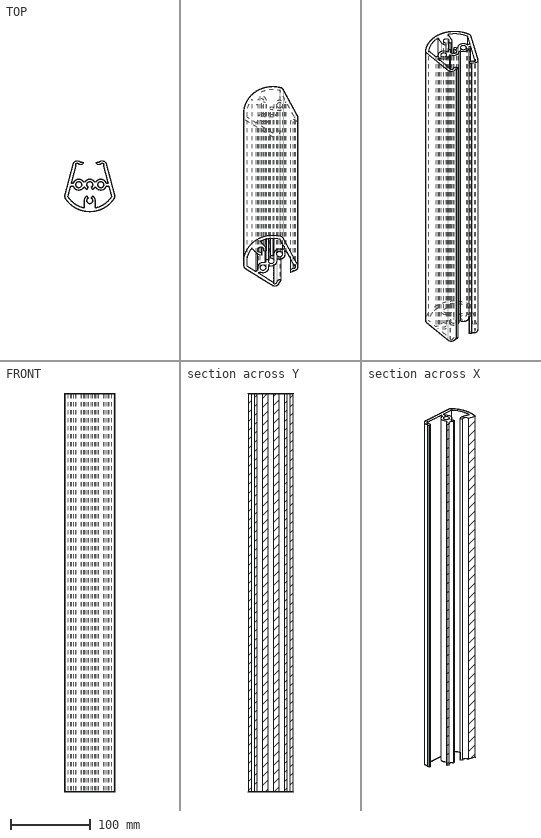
import math

import cadquery as cq

LENGTH = 500.0
WIDTH = 63.06
HEIGHT = 63.98

FRONT_RADIUS = 36.7
FRONT_WALL = 4.1
SIDE_WALL = 4.3
SIDE_LEAN = 14.8
CORNER_RADIUS = 6.0

LIP_RADIUS = 5.7
LIP_WALL = 3.2
LIP_SWEEP_END = 48.0
HOOK_RADIUS = 0.7
HOOK_TIP_ANGLE = -22.0

PORT_BORE = 3.65
PORT_RADIUS = 7.0
PORT_PITCH = 13.85
PORT_ROW_Y = 34.0
PORT_OPENING = 30.0
OPENING_MARGIN = 1.0
WEB_THICKNESS = 3.9
BRIDGE_THICKNESS = 7.0

STEM_PORT_Y = 14.0


def polar(center, radius, angle):
    """Point at an angle in degrees, counter-clockwise from +X, on a circle."""
    turn = math.radians(angle)
    return (center[0] + radius * math.cos(turn), center[1] + radius * math.sin(turn))


def mirrored(point):
    """The point's mirror image across X = 0."""
    return (-point[0], point[1])


def ring_sector(center, inner, outer, start, end):
    """Part of a ring, running from the start angle to the end angle."""
    middle = (start + end) / 2
    return (
        cq.Workplane("XY")
        .moveTo(*polar(center, outer, start))
        .threePointArc(polar(center, outer, middle), polar(center, outer, end))
        .lineTo(*polar(center, inner, end))
        .threePointArc(polar(center, inner, middle), polar(center, inner, start))
        .close()
        .extrude(LENGTH)
    )


def block(half_width, y_min, y_max):
    """Full-length rectangular bar centered on X = 0."""
    middle_y = (y_min + y_max) / 2
    return cq.Workplane("XY").center(0, middle_y).rect(2 * half_width, y_max - y_min).extrude(LENGTH)


def cylinder(center, radius):
    """Full-length round bar."""
    return cq.Workplane("XY").center(*center).circle(radius).extrude(LENGTH)


side_angle = 180 - SIDE_LEAN
lean = math.radians(SIDE_LEAN)

front_center = (0.0, FRONT_RADIUS)
corner_x = CORNER_RADIUS - WIDTH / 2
corner_y = FRONT_RADIUS - math.sqrt((FRONT_RADIUS - CORNER_RADIUS) ** 2 - corner_x**2)
corner_center = (corner_x, corner_y)
front_end_angle = 180 + math.degrees(math.atan2(FRONT_RADIUS - corner_y, -corner_x))

lip_y = HEIGHT - LIP_RADIUS
lip_x = corner_x + (LIP_RADIUS - CORNER_RADIUS) / math.cos(lean) + (lip_y - corner_y) * math.tan(lean)
lip_center = (lip_x, lip_y)


def side_inner_x(y):
    """X of the left side wall's inner face at a given Y."""
    return lip_x - (LIP_RADIUS - SIDE_WALL) / math.cos(lean) - (lip_y - y) * math.tan(lean)


def shell():
    """Front wall, rounded corners and leaning side walls."""
    side_top = polar(lip_center, LIP_RADIUS, side_angle)
    side_bottom = polar(corner_center, CORNER_RADIUS, side_angle)
    corner_middle = polar(corner_center, CORNER_RADIUS, (side_angle + front_end_angle) / 2)
    corner_end = polar(corner_center, CORNER_RADIUS, front_end_angle)
    outside = (
        cq.Workplane("XY")
        .moveTo(*side_top)
        .lineTo(*side_bottom)
        .threePointArc(corner_middle, corner_end)
        .threePointArc((0, 0), mirrored(corner_end))
        .threePointArc(mirrored(corner_middle), mirrored(side_bottom))
        .lineTo(*mirrored(side_top))
        .lineTo(*mirrored(polar(lip_center, LIP_RADIUS - SIDE_WALL, side_angle)))
        .lineTo(*polar(lip_center, LIP_RADIUS - SIDE_WALL, side_angle))
        .close()
        .extrude(LENGTH)
    )
    top_left = (side_inner_x(HEIGHT), HEIGHT)
    bottom_left = (side_inner_x(0), 0)
    between_sides = (
        cq.Workplane("XY")
        .polyline([top_left, bottom_left, mirrored(bottom_left), mirrored(top_left)])
        .close()
        .extrude(LENGTH)
    )
    return outside.cut(between_sides.intersect(cylinder(front_center, FRONT_RADIUS - FRONT_WALL)))


def lips():
    """S-shaped lips: a curl over the back, then a hook curling the other way."""
    curl = ring_sector(lip_center, LIP_RADIUS - LIP_WALL, LIP_RADIUS, LIP_SWEEP_END, side_angle)
    hook_center = polar(lip_center, LIP_RADIUS + HOOK_RADIUS, LIP_SWEEP_END)
    hook_start = 180 + LIP_SWEEP_END
    hook_end = 360 + HOOK_TIP_ANGLE
    lip = curl.union(ring_sector(hook_center, HOOK_RADIUS, HOOK_RADIUS + LIP_WALL, hook_start, hook_end))
    return lip.union(lip.mirror("YZ"))


def opening(center, direction):
    """Wedge that splits a port open towards +Y (direction 1) or -Y (direction -1)."""
    depth = PORT_RADIUS + OPENING_MARGIN
    half_width = depth * math.tan(math.radians(PORT_OPENING))
    mouth_y = center[1] + direction * depth
    wedge = cq.Workplane("XY").polyline([center, (-half_width, mouth_y), (half_width, mouth_y)])
    return wedge.close().extrude(LENGTH)


def port_row():
    """Three ports joined to each other and to the side walls, the middle one open to the front."""
    web_end = SIDE_WALL / 2 - side_inner_x(PORT_ROW_Y)
    half_web = WEB_THICKNESS / 2
    half_bridge = BRIDGE_THICKNESS / 2
    row = block(web_end, PORT_ROW_Y - half_web, PORT_ROW_Y + half_web)
    row = row.union(block(PORT_PITCH, PORT_ROW_Y - half_bridge, PORT_ROW_Y + half_bridge))
    centers = [(column * PORT_PITCH, PORT_ROW_Y) for column in (-1, 0, 1)]
    for center in centers:
        row = row.union(cylinder(center, PORT_RADIUS))
    for center in centers:
        row = row.cut(cylinder(center, PORT_BORE))
    return row.cut(opening(centers[1], -1))


def stem_port():
    """Port on a stem rising from the front wall, open to the back."""
    center = (0.0, STEM_PORT_Y)
    stem = block(PORT_RADIUS, FRONT_WALL / 2, STEM_PORT_Y).union(cylinder(center, PORT_RADIUS))
    return stem.cut(cylinder(center, PORT_BORE)).cut(opening(center, 1))


result = shell().union(lips()).union(port_row()).union(stem_port())